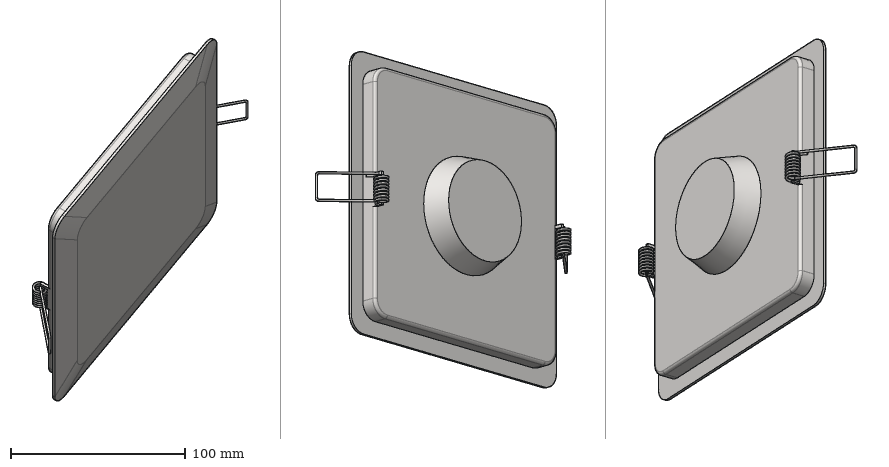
import cadquery as cq
import math


COVER_BACK_DIAMETER = 60.0
COVER_BASE_DIAMETER = 70.0
COVER_DEPTH = 15.0

HOUSING_SIDE = 150.0
HOUSING_DEPTH = 9.9
CORNER_RADIUS = 10.0
BACK_EDGE_FILLET = 1.9
TAB_HEIGHT = 20.0
TAB_REACH = 5.0
TAB_THICKNESS = 1.75
SLOT_CLEARANCE = 0.2

TRIM_SIDE = 169.0
TRIM_RIM_THICKNESS = 1.6
TRIM_TAPER_HEIGHT = 3.7
TRIM_TAPER_WIDTH = 17.7

WIRE_DIAMETER = 1.4
COIL_RADIUS = 3.7
COIL_HEIGHT = 15.0
COIL_TURNS = 7.75
END_TURN_ANGLE = 90
ARM_BOTTOM = -8.0
ARM_TOP = 8.5
ARM_BEND_RADIUS = 1.5
ARM_START = 1.2
STUB_END = 8.7
POSITIVE_ARM_ANGLE = 46.4
OVERALL_DEPTH = 36.5
OVERALL_WIDTH = 206.0

housing_back = COVER_DEPTH
trim_back = housing_back + HOUSING_DEPTH
spring_axis_x = housing_back - TAB_REACH

wire_radius = WIRE_DIAMETER / 2
spring_axis_y = HOUSING_SIDE / 2
arm_tip_x = OVERALL_DEPTH - wire_radius - spring_axis_x
arm_length = arm_tip_x / math.cos(math.radians(POSITIVE_ARM_ANGLE))
positive_arm_reach = arm_length * math.sin(math.radians(POSITIVE_ARM_ANGLE))
negative_arm_reach = OVERALL_WIDTH - 2 * (spring_axis_y + wire_radius) - positive_arm_reach
negative_arm_angle = math.degrees(math.asin(negative_arm_reach / arm_length))
coil_pitch = COIL_HEIGHT / COIL_TURNS
coil_top = ARM_BOTTOM + COIL_HEIGHT


def rounded_square(side, height=0):
    """Sketch of a square with rounded corners, raised by height above its plane."""
    outline = cq.Sketch().rect(side, side).vertices().fillet(CORNER_RADIUS)
    return outline.moved(cq.Location((0, 0, height)))


def plane_at(x):
    """Workplane that faces +X at the given X."""
    return cq.Workplane("YZ", origin=(x, 0, 0))


def make_cover():
    """Driver cover: a cone that widens towards the housing."""
    back = plane_at(0).circle(COVER_BACK_DIAMETER / 2)
    return back.workplane(offset=COVER_DEPTH).circle(COVER_BASE_DIAMETER / 2).loft(ruled=True)


def make_tab(side):
    """Tab flush with one Y side of the housing, slotted into two fingers around the coil."""
    tab_y = side * (HOUSING_SIDE - TAB_THICKNESS) / 2
    tab_length = TAB_REACH + BACK_EDGE_FILLET
    tab = (
        cq.Workplane("XY")
        .box(tab_length, TAB_THICKNESS, TAB_HEIGHT, centered=(False, True, True))
        .translate((spring_axis_x, tab_y, 0))
    )
    slot_height = COIL_HEIGHT + WIRE_DIAMETER + 2 * SLOT_CLEARANCE
    slot = (
        cq.Workplane("XY")
        .box(TAB_REACH, TAB_THICKNESS, slot_height, centered=(False, True, True))
        .translate((spring_axis_x, tab_y, ARM_BOTTOM + COIL_HEIGHT / 2))
    )
    return tab.cut(slot)


def make_housing():
    """Box with a rounded back edge and a tab on each Y side."""
    housing = plane_at(housing_back).placeSketch(rounded_square(HOUSING_SIDE)).extrude(HOUSING_DEPTH)
    housing = housing.faces("<X").edges().fillet(BACK_EDGE_FILLET)
    for side in (1, -1):
        housing = housing.union(make_tab(side))
    return housing


def make_trim():
    """Flange with a straight rim and a front that slopes up to a smaller rounded square."""
    base = rounded_square(TRIM_SIDE)
    rim = plane_at(trim_back).placeSketch(base).extrude(TRIM_RIM_THICKNESS)
    top = rounded_square(TRIM_SIDE - 2 * TRIM_TAPER_WIDTH, TRIM_TAPER_HEIGHT)
    front = plane_at(trim_back + TRIM_RIM_THICKNESS).placeSketch(base, top).loft(ruled=True)
    return rim.union(front)


def make_coil():
    """Right-handed coil about the Z axis: a flat quarter turn from +X, then a helix that ends at +X."""
    section_plane = cq.Workplane("XZ", origin=(COIL_RADIUS, 0, ARM_BOTTOM))
    end_turn = section_plane.circle(wire_radius).revolve(
        END_TURN_ANGLE, (-COIL_RADIUS, 0, 0), (-COIL_RADIUS, 1, 0)
    )
    helix = cq.Wire.makeHelix(coil_pitch, COIL_HEIGHT, COIL_RADIUS, center=cq.Vector(0, 0, ARM_BOTTOM))
    turns = section_plane.circle(wire_radius).sweep(cq.Workplane(helix), isFrenet=True)
    turns = turns.rotate((0, 0, 0), (0, 0, 1), END_TURN_ANGLE)
    return turns.union(end_turn)


def make_arm():
    """U-shaped wire that leaves the coil axis along +X below the coil and returns above it."""
    corners = [(ARM_START, ARM_BOTTOM), (arm_length, ARM_BOTTOM), (arm_length, ARM_TOP), (ARM_START, ARM_TOP)]
    path = cq.Wire.makePolygon([cq.Vector(x, 0, z) for x, z in corners])
    path = path.fillet2D(ARM_BEND_RADIUS, path.Vertices()[1:3])
    start = cq.Workplane("YZ", origin=(ARM_START, 0, ARM_BOTTOM))
    return start.circle(wire_radius).sweep(cq.Workplane(path))


def make_stub():
    """Straight free end of the wire, pointing outwards from the top of the coil."""
    stub_start = COIL_RADIUS - wire_radius
    start = cq.Workplane("YZ", origin=(stub_start, 0, coil_top))
    return start.circle(wire_radius).extrude(STUB_END - stub_start)


def make_spring(side, arm_angle):
    """One spring with its arm swung outwards and forwards on the given Y side."""
    spring = make_coil().union(make_arm()).union(make_stub())
    spring = spring.rotate((0, 0, 0), (0, 0, 1), side * arm_angle)
    return spring.translate((spring_axis_x, side * spring_axis_y, 0))


cover = make_cover()
housing = make_housing()
trim = make_trim()
springs = [make_spring(1, POSITIVE_ARM_ANGLE), make_spring(-1, negative_arm_angle)]

bodies = [cover, housing, trim, *springs]
result = cq.Compound.makeCompound([body.solids().val() for body in bodies])